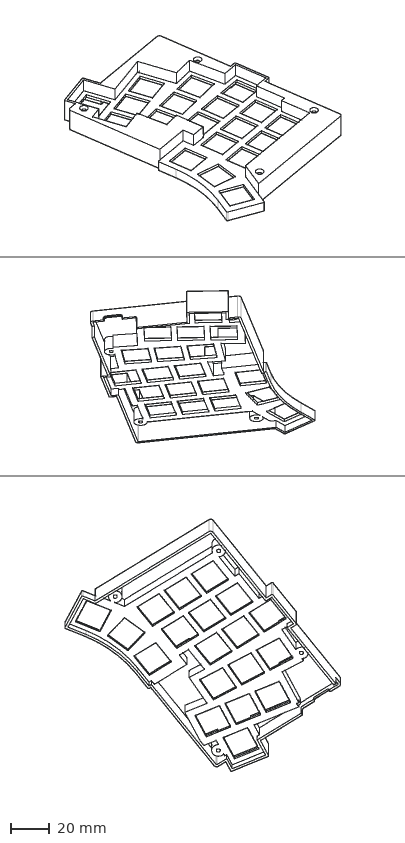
import cadquery as cq
import math

case_height = 12.5
plate_bottom = 4.0
plate_top = 5.6
wall = 1.3
deck_bottom = case_height - wall

case_left, case_right = 10.1, 127.0
case_front, case_back = 15.8, 95.2
case_corner_radius = 1.6
edge_radius = 0.5

key_opening = 13.8
column_pitch = 18.0
row_pitch = 17.0
rows = 3
pocket_width = 19.3
pocket_depth = 18.9

pinky_column = (25.8, 62.7, 10, 4.0)
ring_column = (46.0, 78.1, 4, 4.0)
middle_column = (66.8, 88.3, 0, 0)
index_column = (middle_column[0] + column_pitch, 79.9, 0, 0)
inner_column = (index_column[0] + column_pitch, 77.2, 0, 0)
columns = [pinky_column, ring_column, middle_column, index_column, inner_column]
outer_key_rise = 7.6

thumb_x, thumb_y = 79.9, 25.0
thumb_fan_radius = 76.7
thumb_step = 15
thumb_keys = 3
thumb_half_width = 11.5
thumb_half_depth = 10.6

screw_places = [(38.7, 89.8), (112.9, 89.8), (121.3, 30.6), (16.0, 21.5)]
screw_hole = 2.0
screw_head = 4.4
screw_head_angle = 90
screw_boss = 6.9

slot_front = 70.4
slot_height = 6.5
slot_corner_radius = 1.0
slot_reach = 5.3
plug_y = 83.0
plug_width = 9.5
plug_top = 8.4
plug_corner_radius = 1.2
plug_flare = 0.4
plug_flare_angle = 45


def tilted(center, angle, along_x, along_y):
    """Point offset from center in axes turned by angle."""
    cosine = math.cos(math.radians(angle))
    sine = math.sin(math.radians(angle))
    return (
        center[0] + along_x * cosine - along_y * sine,
        center[1] + along_x * sine + along_y * cosine,
    )


def prism(points, bottom, top):
    return cq.Workplane("XY").workplane(offset=bottom).polyline(points).close().extrude(top - bottom)


def tilted_box(center, angle, width, depth, bottom, top):
    corners = [(-1, -1), (1, -1), (1, 1), (-1, 1)]
    points = [tilted(center, angle, i * width / 2, j * depth / 2) for i, j in corners]
    return prism(points, bottom, top)


def column_prism(column, bottom, top):
    """Pocket shape around one column of keys."""
    x, y, tilt, reach = column
    side = pocket_width / 2
    rear = pocket_depth / 2
    front = -rear - (rows - 1) * row_pitch
    reach_start = front + row_pitch
    local = [(-side, front), (side, front), (side, reach_start), (side + reach, rear), (-side, rear)]
    return prism([tilted((x, y), tilt, *point) for point in local], bottom, top)


def thumb_place(angle, offset=0.0):
    """Point on the thumb fan, turned clockwise by angle and moved outward by offset."""
    fan_center = (thumb_x, thumb_y - thumb_fan_radius)
    return tilted(fan_center, -angle, 0, thumb_fan_radius + offset)


def thumb_prism(bottom, top):
    """Thumb cluster, reaching back to meet the index and inner columns."""
    last_angle = thumb_step * (thumb_keys - 1)
    last_key = thumb_place(last_angle)
    left = thumb_x - thumb_half_width
    rear_joint = index_column[1] - (rows - 1) * row_pitch - pocket_depth / 2
    inner_edge = inner_column[0] + pocket_width / 2
    front_corner = tilted(last_key, -last_angle, thumb_half_width, -thumb_half_depth)
    rear_corner = tilted(last_key, -last_angle, thumb_half_width, thumb_half_depth)
    inner_joint = rear_corner[1] + (rear_corner[0] - inner_edge) * math.tan(math.radians(last_angle))
    return (
        cq.Workplane("XY")
        .workplane(offset=bottom)
        .moveTo(left, thumb_y - thumb_half_depth)
        .lineTo(thumb_x, thumb_y - thumb_half_depth)
        .threePointArc(
            thumb_place(last_angle / 2, -thumb_half_depth),
            thumb_place(last_angle, -thumb_half_depth),
        )
        .lineTo(*front_corner)
        .lineTo(*rear_corner)
        .lineTo(inner_edge, inner_joint)
        .lineTo(inner_edge, rear_joint)
        .lineTo(left, rear_joint)
        .close()
        .extrude(top - bottom)
    )


def grown(solid, distance, bottom, top):
    """Prism over the footprint of solid, grown (or shrunk) sideways by distance."""
    return (
        cq.Workplane("XY")
        .add(solid.faces("<Z").wires().vals())
        .toPending()
        .offset2D(distance, "intersection")
        .extrude(top - bottom)
        .translate((0, 0, bottom - solid.val().BoundingBox().zmin))
    )


pinky_front_key = tilted(pinky_column[:2], pinky_column[2], 0, -(rows - 1) * row_pitch)
outer_key = tilted(pinky_front_key, pinky_column[2], -column_pitch, outer_key_rise)

keys = [(outer_key, pinky_column[2])]
for x, y, tilt, _ in columns:
    for row in range(rows):
        keys.append((tilted((x, y), tilt, 0, -row * row_pitch), tilt))
for index in range(thumb_keys):
    keys.append((thumb_place(index * thumb_step), -index * thumb_step))


def pocket_prism(bottom, top):
    """Key field: all columns, the outer pinky key and the thumb cluster."""
    field = tilted_box(outer_key, pinky_column[2], pocket_width, pocket_depth, bottom, top)
    for column in columns:
        field = field.union(column_prism(column, bottom, top))
    return field.union(thumb_prism(bottom, top)).clean()


def case_prism(bottom, top):
    """Rectangular body with the rims around the middle column and the outer pinky key."""
    body = (
        cq.Workplane("XY")
        .box(case_right - case_left, case_back - case_front, top - bottom, centered=False)
        .translate((case_left, case_front, bottom))
        .edges("|Z")
        .fillet(case_corner_radius)
    )
    rim_width = pocket_width + 2 * wall
    rim_depth = pocket_depth + 2 * wall
    for center, tilt in [(outer_key, pinky_column[2]), (middle_column[:2], middle_column[2])]:
        rim = tilted_box(center, tilt, rim_width, rim_depth, bottom, top)
        body = body.union(rim.edges("|Z").fillet(edge_radius))
    return body


def thumb_block(bottom, top):
    """Thumb cluster with its free corners rounded."""
    left_corner = (thumb_x - thumb_half_width, thumb_y - thumb_half_depth, bottom)
    block = thumb_prism(bottom, top)
    block = block.edges("|Z and (>X or <Y)").fillet(edge_radius)
    return block.edges("|Z").edges(cq.NearestToPointSelector(left_corner)).fillet(edge_radius)


pocket = pocket_prism(plate_top, case_height)
footprint = case_prism(0, plate_top).union(thumb_block(0, plate_top)).clean()
result = case_prism(0, case_height).union(thumb_block(0, plate_top)).cut(pocket).clean()

lower_cavity = grown(footprint, -wall, 0, plate_bottom)
upper_cavity = grown(case_prism(0, plate_top), -wall, plate_bottom, deck_bottom)
pocket_walls = grown(pocket, wall, plate_bottom, deck_bottom)
bosses = (
    cq.Workplane("XY", origin=(0, 0, plate_bottom))
    .pushPoints(screw_places)
    .circle(screw_boss / 2)
    .extrude(deck_bottom - plate_bottom)
)
result = result.cut(lower_cavity).cut(upper_cavity.cut(pocket_walls).cut(bosses))

for center, tilt in keys:
    result = result.cut(tilted_box(center, tilt, key_opening, key_opening, 0, case_height))

result = (
    result.faces(">Z")
    .workplane(origin=(0, 0, case_height))
    .pushPoints(screw_places)
    .cskHole(screw_hole, screw_head, screw_head_angle)
)

slot = (
    cq.Workplane("XY")
    .box(slot_reach + wall, case_back + wall - slot_front, slot_height, centered=False)
    .translate((case_left - wall, slot_front, 0))
    .edges("|X and >Z and <Y")
    .fillet(slot_corner_radius)
)
result = result.cut(slot)


plug_profile = (
    cq.Sketch()
    .rect(plug_width, 2 * plug_top)
    .vertices()
    .fillet(plug_corner_radius)
)
plug = cq.Workplane("YZ", origin=(case_left, plug_y, 0)).placeSketch(plug_profile).extrude(slot_reach)
flare = (
    cq.Workplane("YZ", origin=(case_left + plug_flare, plug_y, 0))
    .placeSketch(plug_profile)
    .extrude(-plug_flare, taper=-plug_flare_angle)
)
result = result.cut(plug).cut(flare)